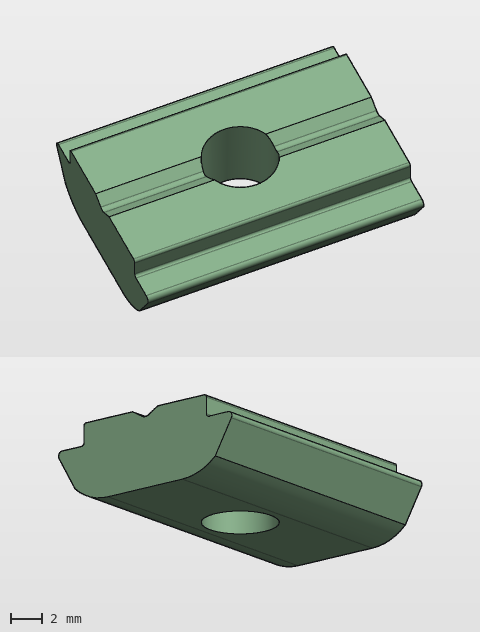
import cadquery as cq
import math

length = 19.0
width = 14.0
height = 5.2

neck_width = 9.9
neck_height = 1.48
neck_radius = 0.19
tip_radius = 0.3
flank_angle = math.radians(60)
belly_radius = 3.99
belly_center_x = 3.0

groove_width = 2.05
groove_angle = math.radians(30)
groove_radius = 0.48
hole_diameter = 4.9

shoulder_z = height - neck_height
tip_x = width / 2 - tip_radius + tip_radius / math.tan(flank_angle / 2)


def belly_corner():
    """Point where the sloping flank meets the rounded belly."""
    run_x = -math.cos(flank_angle)
    run_z = -math.sin(flank_angle)
    from_center_x = tip_x - belly_center_x
    from_center_z = shoulder_z - belly_radius
    along = from_center_x * run_x + from_center_z * run_z
    excess = from_center_x**2 + from_center_z**2 - belly_radius**2
    distance = -along + math.sqrt(along**2 - excess)
    return tip_x + distance * run_x, shoulder_z + distance * run_z


def make_body():
    """Extruded T-nut section with rounded shoulders and neck."""
    corner_x, corner_z = belly_corner()
    corner_angle = math.atan2(belly_radius - corner_z, corner_x - belly_center_x)
    middle_angle = (corner_angle + math.pi / 2) / 2
    middle_x = belly_center_x + belly_radius * math.cos(middle_angle)
    middle_z = belly_radius - belly_radius * math.sin(middle_angle)
    neck_x = neck_width / 2
    body = (
        cq.Workplane("XZ")
        .moveTo(-belly_center_x, 0)
        .lineTo(belly_center_x, 0)
        .threePointArc((middle_x, middle_z), (corner_x, corner_z))
        .lineTo(tip_x, shoulder_z)
        .lineTo(neck_x, shoulder_z)
        .lineTo(neck_x, height)
        .lineTo(-neck_x, height)
        .lineTo(-neck_x, shoulder_z)
        .lineTo(-tip_x, shoulder_z)
        .lineTo(-corner_x, corner_z)
        .threePointArc((-middle_x, middle_z), (-belly_center_x, 0))
        .close()
        .extrude(length / 2, both=True)
    )
    for x, z, radius in (
        (neck_x, height, neck_radius),
        (neck_x, shoulder_z, neck_radius),
        (tip_x, shoulder_z, tip_radius),
    ):
        for side in (-1, 1):
            edge = cq.selectors.NearestToPointSelector((side * x, 0, z))
            body = body.edges(edge).fillet(radius)
    return body


def make_groove():
    """Shallow V along the top face with a rounded root."""
    half_width = groove_width / 2
    root_z = height - half_width * math.tan(groove_angle)
    root = cq.selectors.NearestToPointSelector((0, 0, root_z))
    return (
        cq.Workplane("XZ")
        .polyline([(-half_width, height), (0, root_z), (half_width, height)])
        .close()
        .extrude(length / 2, both=True)
        .edges(root)
        .fillet(groove_radius)
    )


hole = cq.Workplane("XY").circle(hole_diameter / 2).extrude(height)
result = make_body().cut(make_groove()).cut(hole)